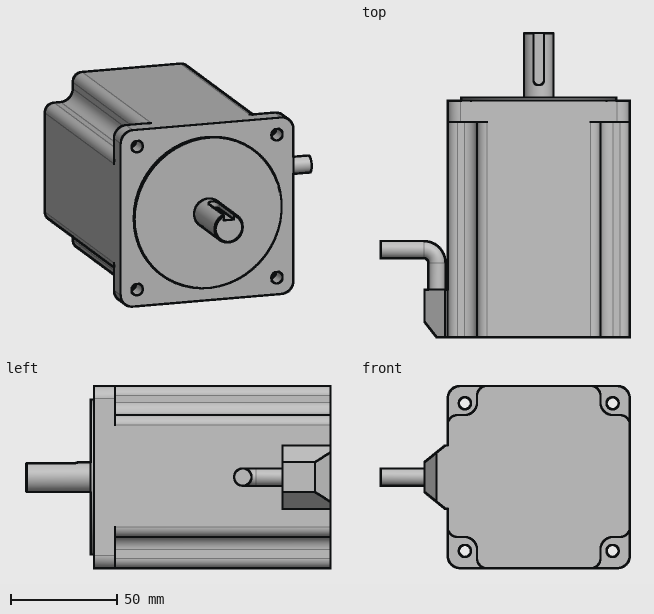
import cadquery as cq
import math

body_side = 86.0
body_length = 111.5
flange_thickness = 10.0
corner_radius = 6.0
half_side = body_side / 2
back_y = -body_length

hole_spacing = 69.6
hole_diameter = 5.6

channel_side_depth = 13.9
channel_top_depth = 13.8
channel_bottom_depth = 14.8
channel_root_radius = 6.0
channel_lip_radius = 4.6

pilot_diameter = 73.2
pilot_height = 1.6
shaft_diameter = 14.0
shaft_length = 143.5 - body_length
shaft_chamfer = 0.5
keyway_width = 5.0
keyway_length = 24.7
keyway_depth = 3.0

housing_height = 10.9
housing_length = 22.5
housing_base_width = 29.8
housing_tip_width = 14.0
housing_base_step = 1.1
housing_bevel_height = 5.7
housing_bevel_length = 7.3

cable_diameter = 8.2
cable_offset = 5.0
cable_reach = 31.5
cable_exit_height = 41.3
cable_bend_radius = 6.2


def cylinder_along_y(diameter, start_y, length):
    """Cylinder on the motor axis, growing toward +Y."""
    plane = cq.Workplane("XZ", origin=(0, start_y, 0))
    return plane.circle(diameter / 2).extrude(-length)


def make_channel(vertical_depth):
    """Cutter for the channel in the +X, +Z corner, behind the flange."""
    wall_x = half_side - channel_side_depth
    wall_z = half_side - vertical_depth
    lip_start = half_side - channel_lip_radius
    diagonal = math.sqrt(0.5)
    root_centre_x = wall_x + channel_root_radius
    root_centre_z = wall_z + channel_root_radius
    root_mid = channel_root_radius * diagonal
    lip_centre_x = wall_x - channel_lip_radius
    lip_centre_z = wall_z - channel_lip_radius
    lip_mid = channel_lip_radius * diagonal
    return (
        cq.Workplane("XZ", origin=(0, -flange_thickness, 0))
        .moveTo(lip_centre_x, half_side)
        .threePointArc((lip_centre_x + lip_mid, lip_start + lip_mid), (wall_x, lip_start))
        .lineTo(wall_x, root_centre_z)
        .threePointArc((root_centre_x - root_mid, root_centre_z - root_mid), (root_centre_x, wall_z))
        .lineTo(lip_start, wall_z)
        .threePointArc((lip_start + lip_mid, lip_centre_z + lip_mid), (half_side, lip_centre_z))
        .lineTo(half_side, half_side)
        .close()
        .extrude(body_length - flange_thickness)
    )


def make_body():
    """Square body with rounded flange corners, channels and mounting holes."""
    body = cq.Workplane("XZ").rect(body_side, body_side).extrude(body_length)
    body = body.edges("|Y").fillet(corner_radius)
    top_channel = make_channel(channel_top_depth)
    bottom_channel = make_channel(channel_bottom_depth).mirror("XY")
    for channel in (top_channel, bottom_channel):
        body = body.cut(channel).cut(channel.mirror("YZ"))
    holes = (
        cq.Workplane("XZ")
        .rect(hole_spacing, hole_spacing, forConstruction=True)
        .vertices()
        .circle(hole_diameter / 2)
        .extrude(flange_thickness)
    )
    return body.cut(holes)


def make_shaft():
    """Shaft with a chamfered end and a keyway open at that end."""
    shaft = cylinder_along_y(shaft_diameter, 0, shaft_length)
    shaft = shaft.faces(">Y").chamfer(shaft_chamfer)
    keyway_floor = shaft_diameter / 2 - keyway_depth
    round_centre_y = shaft_length - keyway_length + keyway_width / 2
    keyway = (
        cq.Workplane("XY", origin=(0, 0, keyway_floor))
        .moveTo(-keyway_width / 2, shaft_length)
        .lineTo(-keyway_width / 2, round_centre_y)
        .threePointArc((0, shaft_length - keyway_length), (keyway_width / 2, round_centre_y))
        .lineTo(keyway_width / 2, shaft_length)
        .close()
        .extrude(keyway_depth)
    )
    return shaft.cut(keyway)


def make_housing():
    """Tapered cable housing, bevelled toward the back of the motor."""
    base_x = -half_side
    step_x = base_x - housing_base_step
    tip_x = base_x - housing_height
    half_base = housing_base_width / 2
    half_tip = housing_tip_width / 2
    housing = (
        cq.Workplane("XZ", origin=(0, back_y + housing_length, 0))
        .polyline([
            (base_x, -half_base),
            (step_x, -half_base),
            (tip_x, -half_tip),
            (tip_x, half_tip),
            (step_x, half_base),
            (base_x, half_base),
        ])
        .close()
        .extrude(housing_length)
    )
    bevel = (
        cq.Workplane("XY")
        .polyline([
            (tip_x, back_y),
            (tip_x + housing_bevel_height, back_y),
            (tip_x, back_y + housing_bevel_length),
        ])
        .close()
        .extrude(half_base, both=True)
    )
    return housing.cut(bevel)


def make_cable():
    """Cable leaving the housing toward +Y, then bending toward -X."""
    cable_x = -half_side - cable_offset
    start_y = back_y + housing_length
    exit_y = back_y + cable_exit_height
    bend_x = cable_x - cable_bend_radius
    bend_y = exit_y - cable_bend_radius
    bend_mid = cable_bend_radius * math.sqrt(0.5)
    path = (
        cq.Workplane("XY")
        .moveTo(cable_x, start_y)
        .lineTo(cable_x, bend_y)
        .threePointArc((bend_x + bend_mid, bend_y + bend_mid), (bend_x, exit_y))
        .lineTo(-half_side - cable_reach, exit_y)
    )
    section = cq.Workplane("XZ", origin=(cable_x, start_y, 0)).circle(cable_diameter / 2)
    return section.sweep(path)


pilot = cylinder_along_y(pilot_diameter, 0, pilot_height)

result = make_body().union(pilot).union(make_shaft()).union(make_housing()).union(make_cable())